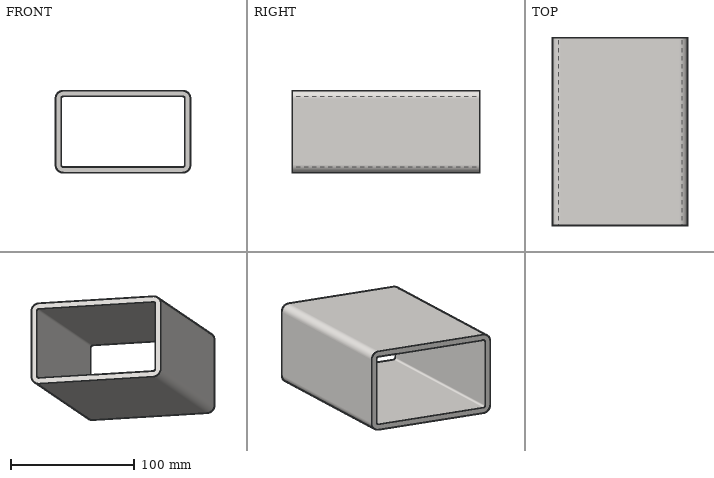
import cadquery as cq

width = 109.5
length = 152.4
height = 66.6
wall = 4.7
outer_radius = 6.4
inner_radius = outer_radius - wall


def rounded_bar(bar_width, bar_height, corner_radius):
    """Solid bar along Y with its four long edges rounded."""
    return cq.Workplane("XY").box(bar_width, length, bar_height).edges("|Y").fillet(corner_radius)


outer_bar = rounded_bar(width, height, outer_radius)
bore = rounded_bar(width - 2 * wall, height - 2 * wall, inner_radius)

result = outer_bar.cut(bore)